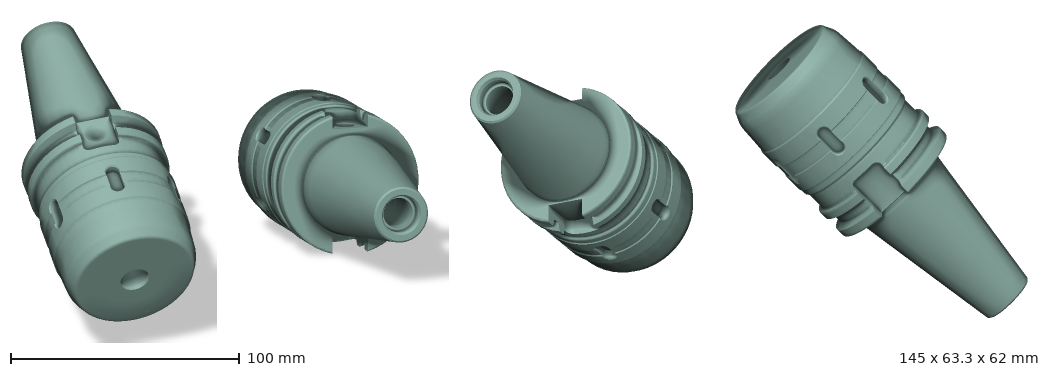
import cadquery as cq
import math


gauge_dia = 44.5
taper_ratio = 7 / 24
taper_length = 68.25
tail_chamfer_depth = 0.7
tail_chamfer_length = 0.7
neck_dia = 43.6
neck_start = 1.3
neck_end = 2.7

flange_dia = 63.26
flange_start = 3.18
flange_end = 19.0
flange_rim_fillet = 1.0
groove_center = 11.18
groove_root_dia = 56.36
groove_root_width = 3.7
groove_mouth_width = 7.1

body_dia = 59.0
body_end = 28.05
body_end_chamfer_length = 0.9
body_end_chamfer_depth = 0.3
flange_root_fillet = 0.7

key_width = 16.3
key_end = 23.3
key_corner_radius = 3.0
upper_key_floor = 25.0
lower_key_floor = 22.6
dimple_dia = 9.53
dimple_angle = 120

bore_dia = 13.0
thread_dia = 13.39
thread_depth = 28.6
pilot_dia = 16.3
pilot_depth = 5.0
pilot_mouth_dia = 17.9
pilot_mouth_length = 1.5

nut_start = 28.3
nut_end = 76.7
nut_bore_dia = 46.45
collar_dia = 61.0
collar_fillet = 1.0
grip_dia = 62.0
grip_start = 32.2
grip_end = 55.6
grip_edge_length = 0.7
band_dia = 61.0
band_start = 40.4
band_end = 47.1
band_wall = 0.35
cone_start_dia = 61.0
cone_end_dia = 59.4
cone_end = 68.7
bevel_start = 72.2
bevel_start_dia = 57.8
bevel_end = 75.8
bevel_end_dia = 54.4
face_dia = 51.4

slot_count = 6
slot_length = 14.5
slot_width = 6.0
slot_center = 43.8
slot_floor = 26.9
slot_chamfer_start = 30.4

tail = -taper_length


def revolve(profile):
    """Turn a closed (x, radius) profile around the X axis."""
    return profile.close().revolve(360, (0, 0, 0), (1, 0, 0))


def turned_body():
    """Shank, flange and body, with a plain spigot that carries the nut."""
    tail_radius = (gauge_dia - taper_length * taper_ratio) / 2
    chamfer_radius = tail_radius + tail_chamfer_length * taper_ratio / 2
    flange_radius = flange_dia / 2
    root_half = groove_root_width / 2
    mouth_half = groove_mouth_width / 2
    profile = (
        cq.Workplane("XY")
        .moveTo(tail, 0)
        .lineTo(tail, tail_radius - tail_chamfer_depth)
        .lineTo(tail + tail_chamfer_length, chamfer_radius)
        .lineTo(0, gauge_dia / 2)
        .lineTo(neck_start, gauge_dia / 2)
        .lineTo(neck_start, neck_dia / 2)
        .lineTo(neck_end, neck_dia / 2)
        .lineTo(flange_start, gauge_dia / 2)
        .lineTo(flange_start, flange_radius - flange_rim_fillet)
        .radiusArc((flange_start + flange_rim_fillet, flange_radius), flange_rim_fillet)
        .lineTo(groove_center - mouth_half, flange_radius)
        .lineTo(groove_center - root_half, groove_root_dia / 2)
        .lineTo(groove_center + root_half, groove_root_dia / 2)
        .lineTo(groove_center + mouth_half, flange_radius)
        .lineTo(flange_end - flange_rim_fillet, flange_radius)
        .radiusArc((flange_end, flange_radius - flange_rim_fillet), flange_rim_fillet)
        .lineTo(flange_end, body_dia / 2 + flange_root_fillet)
        .radiusArc((flange_end + flange_root_fillet, body_dia / 2), -flange_root_fillet)
        .lineTo(body_end - body_end_chamfer_length, body_dia / 2)
        .lineTo(body_end, body_dia / 2 - body_end_chamfer_depth)
        .lineTo(body_end, nut_bore_dia / 2)
        .lineTo(nut_end, nut_bore_dia / 2)
        .lineTo(nut_end, 0)
    )
    return revolve(profile)


def tail_bore():
    """Through bore with the drawbar pilot and thread bore at the tail."""
    profile = (
        cq.Workplane("XY")
        .moveTo(tail, 0)
        .lineTo(tail, pilot_mouth_dia / 2)
        .lineTo(tail + pilot_mouth_length, pilot_dia / 2)
        .lineTo(tail + pilot_depth, pilot_dia / 2)
        .lineTo(tail + pilot_depth, thread_dia / 2)
        .lineTo(tail + thread_depth, thread_dia / 2)
        .lineTo(tail + thread_depth, bore_dia / 2)
        .lineTo(nut_end, bore_dia / 2)
        .lineTo(nut_end, 0)
    )
    return revolve(profile)


def key_slot(floor, side):
    """Slot open at the flange face; side is +1 for +Z and -1 for -Z."""
    return (
        cq.Workplane("XY", origin=(0, 0, side * floor))
        .center((flange_start + key_end) / 2, 0)
        .rect(key_end - flange_start, key_width)
        .extrude(side * flange_dia / 2)
        .edges("|Z and >X")
        .fillet(key_corner_radius)
    )


def dimple():
    """Conical drill point in the floor of the upper key slot."""
    radius = dimple_dia / 2
    depth = radius / math.tan(math.radians(dimple_angle / 2))
    cone = cq.Solid.makeCone(
        radius, 0, depth, pnt=cq.Vector(groove_center, 0, upper_key_floor), dir=cq.Vector(0, 0, -1)
    )
    return cq.Workplane(cone)


def turned_nut():
    """Ring that fits over the spigot, from the collar to the front face."""
    collar_radius = collar_dia / 2
    grip_radius = grip_dia / 2
    shoulder_fillet = grip_radius - collar_radius
    band_radius = band_dia / 2
    profile = (
        cq.Workplane("XY")
        .moveTo(nut_start, nut_bore_dia / 2)
        .lineTo(nut_start, collar_radius - collar_fillet)
        .radiusArc((nut_start + collar_fillet, collar_radius), collar_fillet)
        .lineTo(grip_start - shoulder_fillet, collar_radius)
        .radiusArc((grip_start, grip_radius), -shoulder_fillet)
        .lineTo(band_start, grip_radius)
        .lineTo(band_start + band_wall, band_radius)
        .lineTo(band_end - band_wall, band_radius)
        .lineTo(band_end, grip_radius)
        .lineTo(grip_end, grip_radius)
        .lineTo(grip_end + grip_edge_length, cone_start_dia / 2)
        .lineTo(cone_end, cone_end_dia / 2)
        .tangentArcPoint((bevel_start, bevel_start_dia / 2), relative=False)
        .lineTo(bevel_end, bevel_end_dia / 2)
        .tangentArcPoint((nut_end, face_dia / 2), relative=False)
        .lineTo(nut_end, nut_bore_dia / 2)
    )
    return revolve(profile)


def spanner_slot():
    """Flat-floored slot on the +Z side, with a 45 degree chamfer around its mouth."""
    pocket = (
        cq.Workplane("XY", origin=(slot_center, 0, slot_floor))
        .slot2D(slot_length, slot_width)
        .extrude(grip_dia / 2 - slot_floor)
    )
    mouth = (
        cq.Workplane("XY", origin=(slot_center, 0, slot_chamfer_start))
        .slot2D(slot_length, slot_width)
        .extrude(grip_dia / 2 - slot_chamfer_start, taper=-45)
    )
    return pocket.union(mouth)


body = turned_body().cut(tail_bore())
body = body.cut(key_slot(upper_key_floor, 1)).cut(key_slot(lower_key_floor, -1))
body = body.cut(dimple())

nut = turned_nut()
for index in range(slot_count):
    nut = nut.cut(spanner_slot().rotate((0, 0, 0), (1, 0, 0), index * 360 / slot_count))

result = cq.Compound.makeCompound([body.val(), nut.val()])